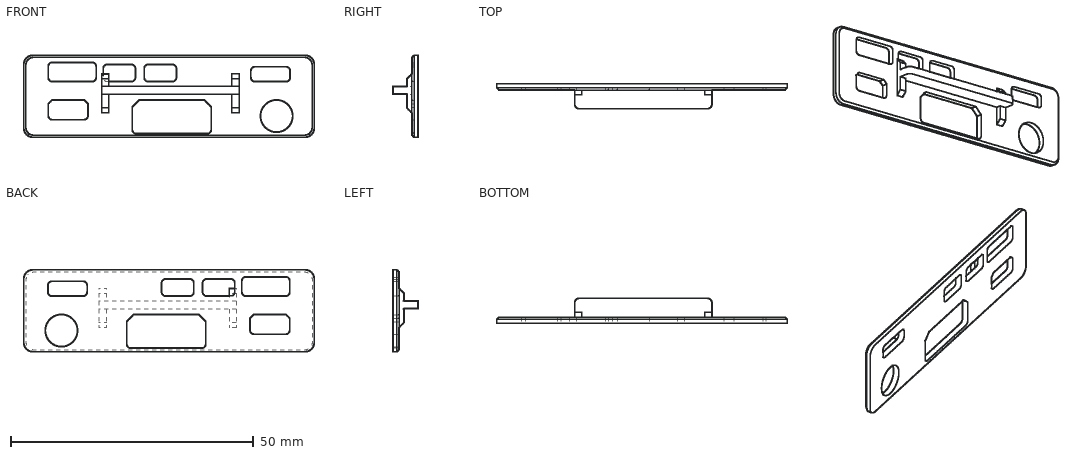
import cadquery as cq

plate_length = 60.0
plate_height = 17.0
plate_thickness = 1.3
plate_corner_radius = 2.0
plate_edge_chamfer = 0.5

window_corner_radius = 0.8
upper_row_bottom = 3.05
lower_row_top = -0.8
left_column = -24.9
windows = [
    (left_column, -15.05, upper_row_bottom, 6.95),
    (-13.55, -6.95, upper_row_bottom, 6.55),
    (-5.1, 1.5, upper_row_bottom, 6.55),
    (16.9, 24.95, upper_row_bottom, 6.05),
]

small_window = (left_column, -16.75, -4.8, lower_row_top)
small_window_chamfer = 0.8
large_window = (-7.55, 8.7, -7.7, lower_row_top)
large_window_chamfer = 1.45

hole_radius = 3.3
hole_x = 22.2
hole_z = lower_row_top - hole_radius

shelf_left = -13.9
shelf_right = 14.45
shelf_bottom = 0.4
shelf_top = 2.05
shelf_reach = 3.9
shelf_corner_radius = 1.0
foot_width = 1.5
foot_bottom = -3.4
foot_top = 4.6
foot_reach = 1.0


def box(left, right, back, front, bottom, top):
    """Box between two planes in each of X, Y (back is the larger Y) and Z."""
    size = (right - left, back - front, top - bottom)
    return cq.Workplane("XY").box(*size, centered=False).translate((left, front, bottom))


def window_block(left, right, bottom, top):
    return box(left, right, plate_thickness, 0, bottom, top)


def make_plate():
    blank = box(-plate_length / 2, plate_length / 2, plate_thickness, 0,
                -plate_height / 2, plate_height / 2)
    rounded = blank.edges("|Y").fillet(plate_corner_radius)
    return rounded.faces("<Y").edges().chamfer(plate_edge_chamfer)


def make_chamfered_window(bounds, chamfer):
    block = window_block(*bounds)
    block = block.faces(">Z").edges("|Y").chamfer(chamfer)
    return block.faces("<Z").edges("|Y").fillet(window_corner_radius)


def make_round_hole():
    disc = cq.Workplane("XZ").center(hole_x, hole_z).circle(hole_radius)
    return disc.extrude(-plate_thickness)


def make_shelf():
    shelf = box(shelf_left, shelf_right, 0, -shelf_reach, shelf_bottom, shelf_top)
    return shelf.faces("<Y").edges("|Z").fillet(shelf_corner_radius)


def make_foot(left):
    """Foot whose ends slope at 45 degrees from the plate to its outer face."""
    profile = [
        (0, foot_bottom),
        (-foot_reach, foot_bottom + foot_reach),
        (-foot_reach, foot_top - foot_reach),
        (0, foot_top),
    ]
    foot = cq.Workplane("YZ").polyline(profile).close().extrude(foot_width)
    return foot.translate((left, 0, 0))


result = make_plate()
for window in windows:
    result = result.cut(window_block(*window).edges("|Y").fillet(window_corner_radius))
result = result.cut(make_chamfered_window(small_window, small_window_chamfer))
result = result.cut(make_chamfered_window(large_window, large_window_chamfer))
result = result.cut(make_round_hole())

result = result.union(make_shelf())
for foot_left in (shelf_left, shelf_right - foot_width):
    result = result.union(make_foot(foot_left))